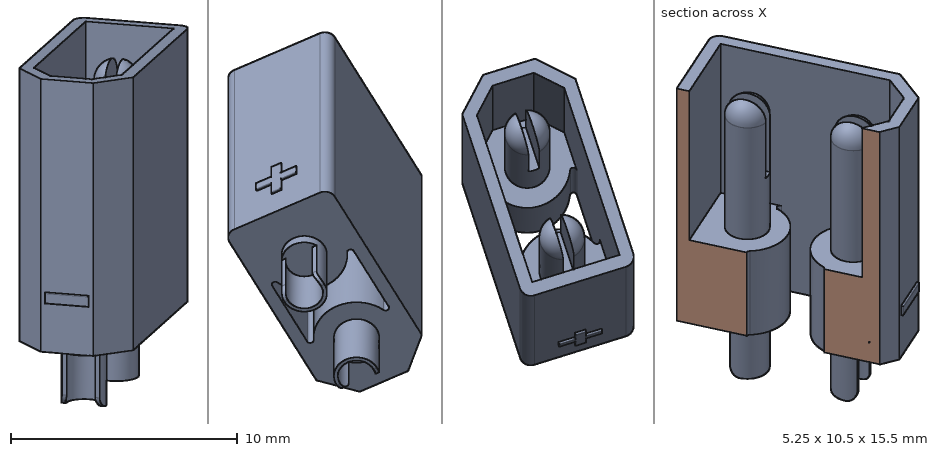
import cadquery as cq
import math


shell_width = 5.25
shell_length = 10.25
shell_height = 12.5
key_chamfer = 1.42
corner_radius = 0.5
wall = 0.6
floor_thickness = 4.5

boss_radius = 1.9
cusp_radius = 0.15

pin_pitch = 5.0
pin_diameter = 2.0
pin_tip_z = 11.5
slot_width = 0.5
slot_depth = 4.0

cup_length = 3.0
cup_collar = 0.5
cup_bore_diameter = 1.65
cup_cut_offset = 0.5
cup_lip_radius = 0.5

mark_length = 2.0
mark_stroke = 0.5
mark_relief = 0.1
mark_edge_radius = 0.025
mark_z = 2.5

pin_radius = pin_diameter / 2
pin_y = pin_pitch / 2
cavity_width = shell_width - 2 * wall
cavity_length = shell_length - 2 * wall
cavity_chamfer = key_chamfer - wall * (2 - math.sqrt(2))


def keyed_block(width, length, chamfer, bottom_z, top_z):
    """Upright block whose two -Y corners are chamfered."""
    block = cq.Workplane("XY").workplane(offset=bottom_z).rect(width, length).extrude(top_z - bottom_z)
    return block.faces("<Y").edges("|Z").chamfer(chamfer)


def cylinder(radius, bottom_z, top_z):
    """Cylinder on the Z axis between two heights."""
    return cq.Workplane("XY").workplane(offset=bottom_z).circle(radius).extrude(top_z - bottom_z)


def make_shell():
    """Keyed housing with rounded +Y corners and an open cavity above the floor."""
    body = keyed_block(shell_width, shell_length, key_chamfer, 0, shell_height)
    body = body.faces(">Y").edges("|Z").fillet(corner_radius)
    cavity = keyed_block(cavity_width, cavity_length, cavity_chamfer, floor_thickness, shell_height)
    return body.cut(cavity)


def make_floor_opening():
    """Opening between the pins: two concave ends that wrap the pin bosses, with rounded cusps."""
    half_width = cavity_width / 2
    cusp_x = half_width - cusp_radius
    center_distance = boss_radius + cusp_radius
    cusp_y = pin_y - math.sqrt(center_distance**2 - cusp_x**2)
    touch_ratio = boss_radius / center_distance
    touch_x = cusp_x * touch_ratio
    touch_y = pin_y + (cusp_y - pin_y) * touch_ratio
    crest_y = cusp_y + cusp_radius
    boss_y = pin_y - boss_radius
    return (
        cq.Workplane("XY")
        .moveTo(half_width, -cusp_y)
        .lineTo(half_width, cusp_y)
        .threePointArc((cusp_x, crest_y), (touch_x, touch_y))
        .threePointArc((0, boss_y), (-touch_x, touch_y))
        .threePointArc((-cusp_x, crest_y), (-half_width, cusp_y))
        .lineTo(-half_width, -cusp_y)
        .threePointArc((-cusp_x, -crest_y), (-touch_x, -touch_y))
        .threePointArc((0, -boss_y), (touch_x, -touch_y))
        .threePointArc((cusp_x, -crest_y), (half_width, -cusp_y))
        .close()
        .extrude(floor_thickness)
    )


def make_contact():
    """Slotted, dome-ended contact on the Z axis, standing on the shell underside."""
    dome_z = pin_tip_z - pin_radius
    dome = cq.Workplane("XY").sphere(pin_radius).translate((0, 0, dome_z))
    contact = cylinder(pin_radius, 0, dome_z).union(dome)
    slot = cq.Workplane("XY").box(slot_width, pin_diameter, slot_depth, centered=(True, True, False))
    return contact.cut(slot.translate((0, 0, pin_tip_z - slot_depth)))


def make_solder_cup():
    """Bored cup on the Z axis, cut open on its +Y side below a full collar."""
    cup = cylinder(pin_radius, -cup_length, 0)
    bore = cylinder(cup_bore_diameter / 2, -cup_length, -cup_collar)
    lip_z = -cup_length + cup_lip_radius
    lip_y = cup_cut_offset - cup_lip_radius
    diagonal = cup_lip_radius * math.sqrt(0.5)
    opening = (
        cq.Workplane("YZ")
        .moveTo(lip_y, -cup_length)
        .threePointArc((lip_y + diagonal, lip_z - diagonal), (cup_cut_offset, lip_z))
        .lineTo(cup_cut_offset, -cup_collar)
        .lineTo(pin_radius, -cup_collar)
        .lineTo(pin_radius, -cup_length)
        .close()
        .extrude(pin_radius, both=True)
    )
    return cup.cut(bore).cut(opening)


def make_mark_stroke(length_x, length_z):
    """Bar centered on the origin; one half of its thickness sinks into the wall, the other stands proud."""
    return cq.Workplane("XY").box(length_x, 2 * mark_relief, length_z)


def place_mark(mark, side):
    """Round the outer rim of a mark and put it on the end wall facing +Y (side = 1) or -Y (side = -1)."""
    outer_face = ">Y" if side > 0 else "<Y"
    rounded = mark.faces(outer_face).edges().fillet(mark_edge_radius)
    return rounded.translate((0, side * shell_length / 2, mark_z))


result = make_shell().cut(make_floor_opening())

contact = make_contact()
solder_cup = make_solder_cup()
for side, cup_turn in ((1, 0), (-1, 180)):
    pin_place = (0, side * pin_y, 0)
    result = result.union(contact.translate(pin_place))
    result = result.union(solder_cup.rotate((0, 0, 0), (0, 0, 1), cup_turn).translate(pin_place))

minus_sign = make_mark_stroke(mark_length, mark_stroke)
plus_sign = minus_sign.union(make_mark_stroke(mark_stroke, mark_length))
result = result.union(place_mark(minus_sign, -1)).union(place_mark(plus_sign, 1))